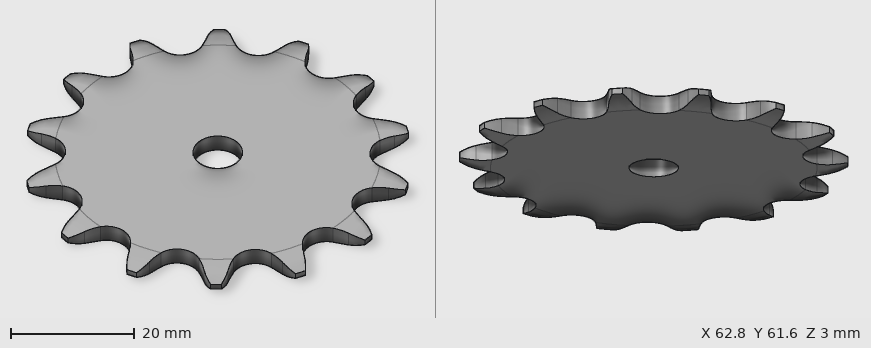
import cadquery as cq
import math

TEETH = 14
THICKNESS = 3.0
BORE_DIAMETER = 8.0
OUTER_RADIUS = 31.4

CHAIN_PITCH = 12.7
SEAT_RADIUS = 3.9
SEAT_HALF_ANGLE = math.radians(54)

CHANGE_OVER = (4.5, 28.5)
TIP_HALF_WIDTH = 0.9

TIP_THICKNESS = THICKNESS / 3
RELIEF_RADIUS = 13.0

TOOTH_ANGLE = 2 * math.pi / TEETH
TIP_HALF_ANGLE = math.asin(TIP_HALF_WIDTH / OUTER_RADIUS)
PITCH_RADIUS = CHAIN_PITCH / 2 / math.sin(TOOTH_ANGLE / 2)


def polar(radius, angle):
    return (radius * math.cos(angle), radius * math.sin(angle))


def chord_angle(start, end):
    return math.atan2(end[1] - start[1], end[0] - start[0])


def arc_middle(start, end, start_angle):
    """Middle point of the arc from start to end that leaves start in the direction start_angle."""
    chord = chord_angle(start, end)
    half_turn = chord - start_angle
    reach = math.dist(start, end) / 2 / math.cos(half_turn / 2)
    step = polar(reach, (chord + start_angle) / 2)
    return (start[0] + step[0], start[1] + step[1])


SEAT_ROOT = (0, PITCH_RADIUS - SEAT_RADIUS)
SEAT_END = (
    SEAT_RADIUS * math.sin(SEAT_HALF_ANGLE),
    PITCH_RADIUS - SEAT_RADIUS * math.cos(SEAT_HALF_ANGLE),
)
TIP_CORNER = polar(OUTER_RADIUS, math.pi / 2 - TOOTH_ANGLE / 2 + TIP_HALF_ANGLE)
CHANGE_OVER_ANGLE = 2 * chord_angle(SEAT_END, CHANGE_OVER) - SEAT_HALF_ANGLE
HOLLOW_MIDDLE = arc_middle(SEAT_END, CHANGE_OVER, SEAT_HALF_ANGLE)
BULGE_MIDDLE = arc_middle(CHANGE_OVER, TIP_CORNER, CHANGE_OVER_ANGLE)


def gap_point(point, side, gap_angle):
    """Place a gap point on the sprocket; side is 1 for the counter-clockwise flank, -1 for the other."""
    across, along = point
    return polar(math.hypot(across, along), gap_angle + side * math.atan2(across, along))


def add_gap(outline, gap_angle):
    """Go down one flank, round the roller seat and up the next flank."""
    arcs = [
        (BULGE_MIDDLE, CHANGE_OVER, -1),
        (HOLLOW_MIDDLE, SEAT_END, -1),
        (SEAT_ROOT, SEAT_END, 1),
        (HOLLOW_MIDDLE, CHANGE_OVER, 1),
        (BULGE_MIDDLE, TIP_CORNER, 1),
    ]
    for middle, end, side in arcs:
        outline = outline.threePointArc(
            gap_point(middle, side, gap_angle),
            gap_point(end, side, gap_angle),
        )
    return outline


def toothed_plate():
    first_corner = polar(OUTER_RADIUS, TIP_HALF_ANGLE)
    outline = cq.Workplane("XY").moveTo(*first_corner)
    for tooth in range(TEETH):
        outline = add_gap(outline, (tooth + 0.5) * TOOTH_ANGLE)
        next_tooth_angle = (tooth + 1) * TOOTH_ANGLE
        outline = outline.threePointArc(
            polar(OUTER_RADIUS, next_tooth_angle),
            polar(OUTER_RADIUS, next_tooth_angle + TIP_HALF_ANGLE),
        )
    return outline.close().extrude(THICKNESS / 2, both=True)


def relieved_disc():
    """Disc whose rim curves smoothly from full thickness down to the tip thickness."""
    face = THICKNESS / 2
    tip = TIP_THICKNESS / 2
    arc_centre_z = face - RELIEF_RADIUS
    relief_angle = math.acos((tip - arc_centre_z) / RELIEF_RADIUS)
    relief_start = OUTER_RADIUS - RELIEF_RADIUS * math.sin(relief_angle)
    middle_radius = relief_start + RELIEF_RADIUS * math.sin(relief_angle / 2)
    middle_z = arc_centre_z + RELIEF_RADIUS * math.cos(relief_angle / 2)
    section = (
        cq.Workplane("XZ")
        .moveTo(0, -face)
        .lineTo(relief_start, -face)
        .threePointArc((middle_radius, -middle_z), (OUTER_RADIUS, -tip))
        .lineTo(OUTER_RADIUS, tip)
        .threePointArc((middle_radius, middle_z), (relief_start, face))
        .lineTo(0, face)
        .close()
    )
    return section.revolve(360, (0, 0), (0, 1))


def bore():
    return cq.Workplane("XY").circle(BORE_DIAMETER / 2).extrude(THICKNESS, both=True)


result = toothed_plate().intersect(relieved_disc()).cut(bore())